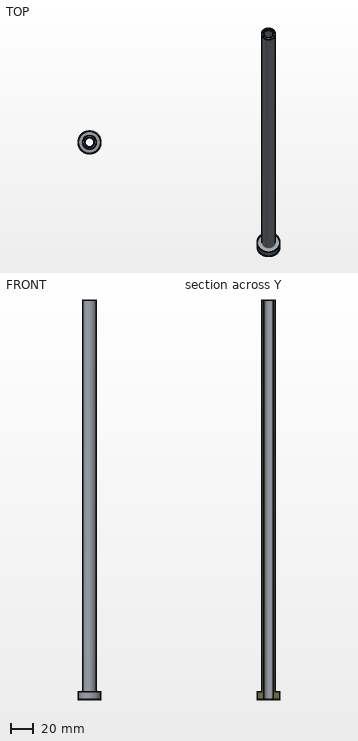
import cadquery as cq

total_length = 350.0
head_diameter = 20.0
head_height = 7.0
shank_diameter = 12.0
bore_diameter = 8.0
neck_fillet = 0.8

head = cq.Workplane("XY").circle(head_diameter / 2).extrude(head_height)

shank = cq.Workplane("XY").circle(shank_diameter / 2).extrude(total_length)
body = head.union(shank)

neck_zone = cq.selectors.BoxSelector(
    (-shank_diameter, -shank_diameter, head_height / 2),
    (shank_diameter, shank_diameter, head_height * 2),
)
neck_edge = body.edges(neck_zone).edges("%CIRCLE").edges(cq.selectors.RadiusNthSelector(0))
body = neck_edge.fillet(neck_fillet)

bore = cq.Workplane("XY").circle(bore_diameter / 2).extrude(total_length)

result = body.cut(bore)